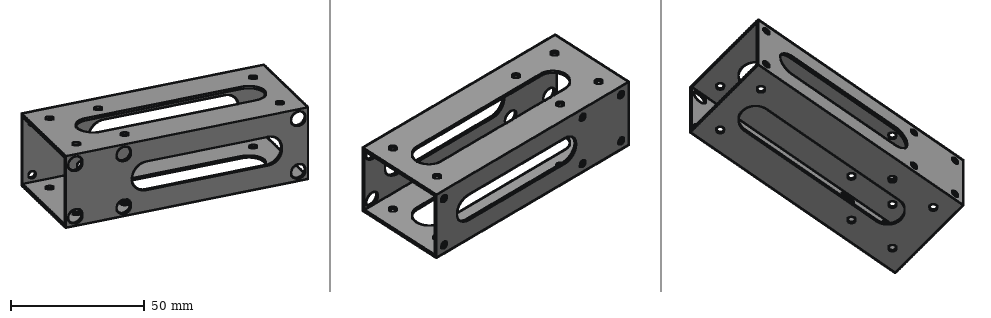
import cadquery as cq

width = 40.0
length = 100.0
height = 30.0
wall = 1.0
hole_diameter = 3.0
access_hole_diameter = 6.0

top_hole_x = 12.0
top_hole_rows = (-42.0, -22.0, 42.0)
top_slot_length = 77.2
top_slot_width = 12.8
top_slot_y = 2.5

side_hole_z = 11.0
side_hole_rows = (-46.0, -26.0, 46.0)
side_slot_length = 62.0
side_slot_width = 12.0
side_slot_y = 8.3


horizontal_plane = cq.Plane(origin=(0, 0, 0), xDir=(0, 1, 0), normal=(0, 0, 1))
vertical_plane = cq.Plane(origin=(0, 0, 0), xDir=(0, 1, 0), normal=(1, 0, 0))


def hole_sketch(plane, rows, offset, diameter):
    """Circles in mirrored pairs, one pair at each Y position in rows."""
    points = [(row, side * offset) for row in rows for side in (-1, 1)]
    return cq.Workplane(plane).pushPoints(points).circle(diameter / 2)


def wall_cutter(plane, depth, rows, hole_offset, slot_length, slot_width, slot_y):
    """Holes and a slot running along Y, cut through a pair of opposite walls."""
    holes = hole_sketch(plane, rows, hole_offset, hole_diameter).extrude(depth / 2, both=True)
    slot = (
        cq.Workplane(plane)
        .center(slot_y, 0)
        .slot2D(slot_length, slot_width)
        .extrude(depth / 2, both=True)
    )
    return holes.union(slot)


tube = cq.Workplane("XY").box(width, length, height).cut(
    cq.Workplane("XY").box(width - 2 * wall, length, height - 2 * wall)
)

top_cutter = wall_cutter(
    horizontal_plane, height, top_hole_rows, top_hole_x, top_slot_length, top_slot_width, top_slot_y
)
side_cutter = wall_cutter(
    vertical_plane, width, side_hole_rows, side_hole_z, side_slot_length, side_slot_width, side_slot_y
)

access_cutter = hole_sketch(
    vertical_plane, side_hole_rows, side_hole_z, access_hole_diameter
).extrude(width / 2)

result = tube.cut(top_cutter).cut(side_cutter).cut(access_cutter)